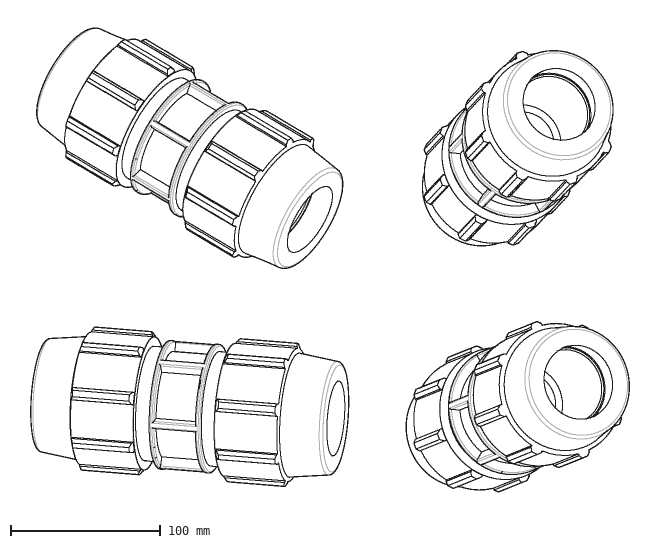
import cadquery as cq
import math

length = 201.0
half_length = length / 2
outer_height = 90.33
clearance = 1.0

body_radius = 76.8 / 2

bore_radius = 40.0 / 2
socket_radius = 50.0 / 2
seal_depth = 18.0
seal_chamfer = 1.1
seal_ledge = 0.8

ring_radius = 86.4 / 2
ring_half_width = 17.5
flange_thickness = 3.2
ring_edge_round = 1.0
pocket_floor_radius = 36.0
pocket_half_width = ring_half_width - flange_thickness
ring_rib_count = 6
ring_rib_width = 5.0
ring_rib_start_angle = 30.0
stop_half_length = ring_half_width

nut_radius = 44.7
nut_inner_x = 27.8
nut_outer_x = 72.1
collar_end_radius = 37.9
collar_base_radius = 41.6
collar_end_round = 2.3

nut_rib_count = 8
nut_rib_top_radius = 48.0
nut_rib_shoulder_radius = 45.7
nut_rib_half_width = 4.15
nut_rib_top_outer_x = 69.7
nut_rib_top_inner_x = 30.7
nut_rib_foot_inner_x = 28.2

half_pitch = math.radians(180 / nut_rib_count)
nut_rib_top_half_width = (
    outer_height / 2 - nut_rib_top_radius * math.cos(half_pitch)
) / math.sin(half_pitch)


def cylinder_on_x(radius, start_x, end_x):
    return cq.Workplane("YZ", origin=(start_x, 0, 0)).circle(radius).extrude(end_x - start_x)


def revolve_about_x(points):
    """Turn an (x, radius) outline about the X axis."""
    return cq.Workplane("XY").polyline(points).close().revolve(360, (0, 0, 0), (1, 0, 0))


def make_ring():
    ring = cylinder_on_x(ring_radius, -ring_half_width, ring_half_width)
    pockets = cylinder_on_x(ring_radius + clearance, -pocket_half_width, pocket_half_width)
    pockets = pockets.cut(cylinder_on_x(pocket_floor_radius, -pocket_half_width, pocket_half_width))
    for index in range(ring_rib_count):
        rib = (
            cq.Workplane("XY")
            .box(2 * pocket_half_width, ring_rib_width, 2 * ring_radius, centered=(True, True, False))
            .rotate((0, 0, 0), (1, 0, 0), ring_rib_start_angle + index * 360 / ring_rib_count)
        )
        pockets = pockets.cut(rib)
    ring = ring.cut(pockets)

    def on_outer_surface(edge):
        middle = edge.positionAt(0.5)
        tip = edge.startPoint()
        return min(math.hypot(p.y, p.z) for p in (middle, tip)) > ring_radius - ring_edge_round / 2

    return ring.edges().filter(on_outer_surface).fillet(ring_edge_round)


def make_nut_rib(index):
    """One full-length rib, ends still square."""
    return (
        cq.Workplane("YZ", origin=(-nut_outer_x, 0, 0))
        .polyline([
            (-nut_rib_half_width, 0),
            (-nut_rib_half_width, nut_rib_shoulder_radius),
            (-nut_rib_top_half_width, nut_rib_top_radius),
            (nut_rib_top_half_width, nut_rib_top_radius),
            (nut_rib_half_width, nut_rib_shoulder_radius),
            (nut_rib_half_width, 0),
        ])
        .close()
        .extrude(nut_outer_x - nut_inner_x)
        .rotate((0, 0, 0), (1, 0, 0), (index + 0.5) * 360 / nut_rib_count)
    )


def make_nut():
    """Nut on the -X side."""
    grip = cylinder_on_x(nut_radius, -nut_outer_x, -nut_inner_x)
    for index in range(nut_rib_count):
        grip = grip.union(make_nut_rib(index))

    tip_radius = nut_rib_top_radius + clearance
    outer_slope = (nut_outer_x - nut_rib_top_outer_x) / (nut_rib_top_radius - collar_base_radius)
    inner_slope = (nut_rib_top_inner_x - nut_rib_foot_inner_x) / (nut_rib_top_radius - nut_radius)
    envelope = revolve_about_x([
        (-nut_outer_x, 0),
        (-nut_outer_x, collar_base_radius),
        (-nut_rib_top_outer_x + clearance * outer_slope, tip_radius),
        (-nut_rib_top_inner_x - clearance * inner_slope, tip_radius),
        (-nut_rib_foot_inner_x, nut_radius),
        (-nut_inner_x, nut_radius),
        (-nut_inner_x, 0),
    ])

    collar = revolve_about_x([
        (-half_length, 0),
        (-half_length, collar_end_radius),
        (-nut_outer_x, collar_base_radius),
        (-nut_outer_x, 0),
    ])
    collar = collar.faces("<X").edges().fillet(collar_end_round)
    return grip.intersect(envelope).union(collar)


def make_socket():
    """Space for the pipe on the -X side: a widening entry, a ledge and a chamfer down to the bore."""
    return revolve_about_x([
        (-half_length, 0),
        (-half_length, socket_radius),
        (-half_length + seal_depth - seal_chamfer, socket_radius + seal_chamfer + seal_ledge),
        (-half_length + seal_depth - seal_chamfer, socket_radius + seal_chamfer),
        (-half_length + seal_depth, socket_radius),
        (-stop_half_length, socket_radius),
        (-stop_half_length, 0),
    ])


def make_body():
    left_tube = cylinder_on_x(body_radius, -nut_inner_x, -ring_half_width)
    return make_ring().union(left_tube).union(left_tube.mirror("YZ"))


nut = make_nut()
right_nut = nut.rotate((0, 0, 0), (0, 0, 1), 180)
socket = make_socket()
result = make_body().union(nut).union(right_nut)
result = result.cut(cylinder_on_x(bore_radius, -half_length, half_length))
result = result.cut(socket).cut(socket.mirror("YZ"))